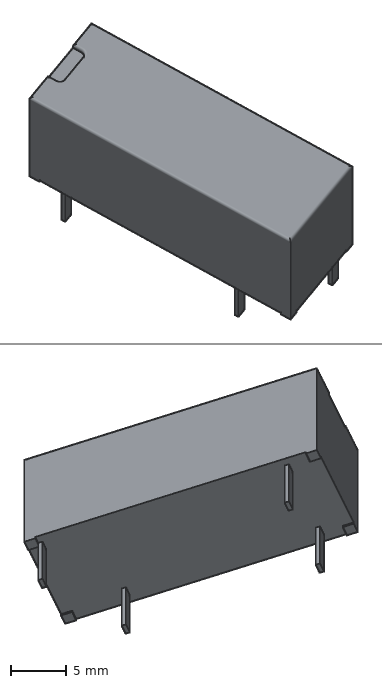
import cadquery as cq

length = 28.5
width = 10.1
total_height = 17.6
housing_height = 12.3
edge_radius = 0.25

foot_length = 1.08
foot_width = 1.03
foot_height = 0.2

notch_length = 1.48
notch_width = 4.05
notch_depth = 0.48
notch_corner_radius = 0.5

pin_thickness = 0.43
pin_width = 1.0
pin_bottom = housing_height - total_height
pin_row_y = 3.82
coil_pin_x = -11.03
near_contact_x = 7.87
far_contact_x = 12.97
pin_positions = [
    (coil_pin_x, -pin_row_y),
    (coil_pin_x, pin_row_y),
    (near_contact_x, -pin_row_y),
    (far_contact_x, pin_row_y),
]


def make_housing():
    """Block with rounded top edges and a notch whose rim is rounded as well."""
    block_height = housing_height - foot_height
    block = (
        cq.Workplane("XY")
        .workplane(offset=foot_height)
        .rect(length, width)
        .extrude(block_height)
    )
    notch = (
        cq.Workplane("XY")
        .workplane(offset=housing_height - notch_depth)
        .center(-length / 2, 0)
        .rect(2 * notch_length, notch_width)
        .extrude(notch_depth)
        .edges("|Z")
        .fillet(notch_corner_radius)
    )
    return block.cut(notch).faces(">Z").edges().fillet(edge_radius)


def make_feet():
    """Rectangular foot at each corner of the housing."""
    return (
        cq.Workplane("XY")
        .rect(length - foot_length, width - foot_width, forConstruction=True)
        .vertices()
        .rect(foot_length, foot_width)
        .extrude(foot_height)
    )


def make_pins():
    """Flat pins reaching from the raised underside down to the pin tips."""
    return (
        cq.Workplane("XY")
        .workplane(offset=pin_bottom)
        .pushPoints(pin_positions)
        .rect(pin_thickness, pin_width)
        .extrude(foot_height - pin_bottom)
    )


result = make_housing().union(make_feet()).union(make_pins())